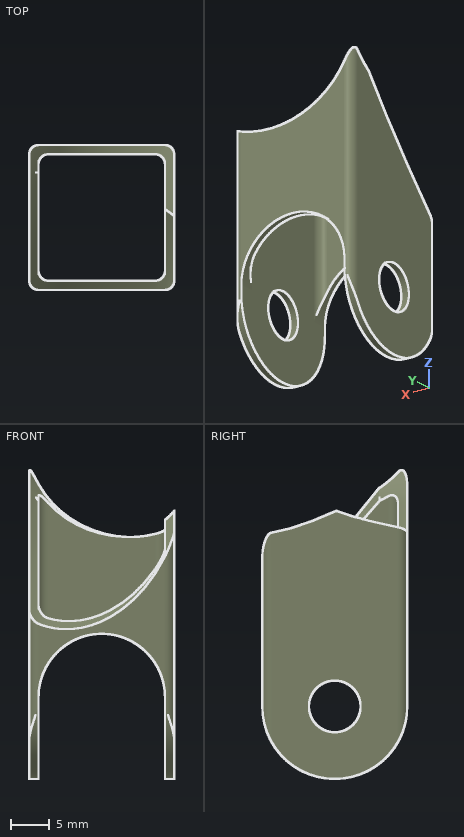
import cadquery as cq
import math

TUBE_WIDTH = 19.05
WALL = 1.2446
CORNER_RADIUS = WALL
BORE_WIDTH = TUBE_WIDTH - 2 * WALL

LUG_RADIUS = TUBE_WIDTH / 2
BOLT_HOLE_DIAMETER = 6.75
ARCH_RADIUS = BORE_WIDTH / 2
ARCH_CENTER_Z = LUG_RADIUS - ARCH_RADIUS

NODE_HEIGHT = 34.925
ROUND_TUBE_RADIUS = 12.7
LEVEL_TUBE_HEADING = 22.8
SLOPED_TUBE_HEADING = 14.65
SLOPED_TUBE_RISE = 39.5

CUT_LENGTH = 6 * TUBE_WIDTH


def square_bar(width):
    """Round-cornered square bar from the lug tip up to the node height."""
    return (
        cq.Workplane("XY")
        .workplane(offset=-LUG_RADIUS)
        .rect(width, width)
        .extrude(NODE_HEIGHT + LUG_RADIUS)
        .edges("|Z")
        .fillet(CORNER_RADIUS)
    )


def rod(center, direction, radius):
    """Long cylinder centred on a point, with its axis along a direction."""
    axis = cq.Vector(*direction).normalized()
    start = cq.Vector(*center) - axis * (CUT_LENGTH / 2)
    return cq.Workplane(cq.Solid.makeCylinder(radius, CUT_LENGTH, start, axis))


def heading_vector(heading, rise):
    """Unit vector turned from +Y toward +X by heading and lifted by rise, in degrees."""
    turn = math.radians(heading)
    lift = math.radians(rise)
    return (
        math.sin(turn) * math.cos(lift),
        math.cos(turn) * math.cos(lift),
        math.sin(lift),
    )


def cope(heading, rise):
    """Saddle cut left by a round tube passing through the node."""
    return rod((0, 0, NODE_HEIGHT), heading_vector(heading, rise), ROUND_TUBE_RADIUS)


def lug_rounding():
    """Material outside the round lug ends, below the bolt axis."""
    block = cq.Workplane("XY").box(
        CUT_LENGTH, CUT_LENGTH, LUG_RADIUS, centered=(True, True, False)
    ).translate((0, 0, -LUG_RADIUS))
    return block.cut(rod((0, 0, 0), (1, 0, 0), LUG_RADIUS))


def clevis_arch():
    """Arched opening along Y that splits the lower end into two lugs."""
    slot_depth = ARCH_CENTER_Z + LUG_RADIUS
    slot = cq.Workplane("XY").box(
        BORE_WIDTH, CUT_LENGTH, slot_depth, centered=(True, True, False)
    ).translate((0, 0, -LUG_RADIUS))
    return slot.union(rod((0, 0, ARCH_CENTER_Z), (0, 1, 0), ARCH_RADIUS))


tube = square_bar(TUBE_WIDTH).cut(square_bar(BORE_WIDTH))

coped_tube = tube.cut(cope(LEVEL_TUBE_HEADING, 0)).cut(cope(SLOPED_TUBE_HEADING, SLOPED_TUBE_RISE))

result = (
    coped_tube.cut(lug_rounding())
    .cut(clevis_arch())
    .cut(rod((0, 0, 0), (1, 0, 0), BOLT_HOLE_DIAMETER / 2))
)